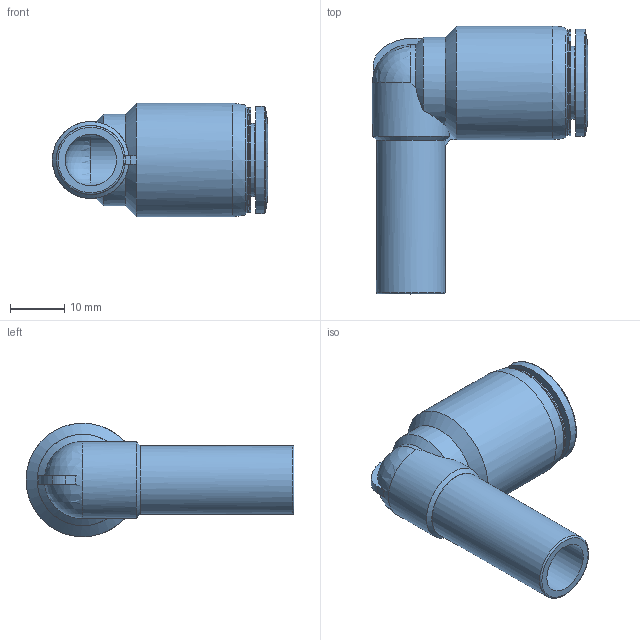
import cadquery as cq
import math


overall_length = 39.76

bore_radius = 9.5 / 2
elbow_radius = 7.1

stem_radius = 12.7 / 2
stem_length = 39.0
stem_tip_fillet = 0.3
hub_length = 10.6
hub_chamfer = 0.7

neck_radius = 8.45
neck_cone_start = 0.95
neck_cone_end = neck_cone_start + neck_radius - elbow_radius
body_radius = 21.0 / 2
body_cone_start = stem_radius
body_cone_end = body_cone_start + body_radius - neck_radius
body_crown_start = 26.2
body_crown_end = 28.6
body_end_radius = 10.13

lip_radius = 19.53 / 2
lip_end = 29.5
groove_center = (body_crown_end + lip_end) / 2
groove_half_width = 0.19
groove_depth = 0.15

sleeve_radius = 13.5 / 2
sleeve_fillet = 0.28
flange_radius = 19.8 / 2
flange_start = 30.5
flange_end = overall_length - elbow_radius
flange_edge_radius = 0.2
flange_dome_start = 32.2
flange_face_radius = 6.9

rib_thickness = 1.6
rib_outer_radius = 8.2
rib_flat_x = -6.95
rib_corner_radius = 3.6
gusset_corner_x = 7.35


def make_socket():
    """Turned outline of body, lip, sleeve and flange, revolved about X."""
    dome_height = flange_end - flange_dome_start
    dome_corner_radius = flange_radius - flange_edge_radius
    dome_span = dome_corner_radius - flange_face_radius
    dome_radius = (dome_span**2 + dome_height**2) / (2 * dome_height)
    outline = (
        cq.Workplane("XY")
        .lineTo(0, elbow_radius)
        .lineTo(neck_cone_start, elbow_radius)
        .lineTo(neck_cone_end, neck_radius)
        .lineTo(body_cone_start, neck_radius)
        .lineTo(body_cone_end, body_radius)
        .lineTo(body_crown_start, body_radius)
        .tangentArcPoint((body_crown_end, body_end_radius), relative=False)
        .lineTo(body_crown_end, lip_radius)
        .lineTo(groove_center - groove_half_width, lip_radius)
        .lineTo(groove_center, lip_radius - groove_depth)
        .lineTo(groove_center + groove_half_width, lip_radius)
        .lineTo(lip_end, lip_radius)
        .lineTo(lip_end, sleeve_radius)
        .lineTo(flange_start - sleeve_fillet, sleeve_radius)
        .tangentArcPoint((flange_start, sleeve_radius + sleeve_fillet), relative=False)
        .lineTo(flange_start, flange_radius)
        .lineTo(flange_dome_start - flange_edge_radius, flange_radius)
        .radiusArc((flange_dome_start, dome_corner_radius), flange_edge_radius)
        .radiusArc((flange_end, flange_face_radius), dome_radius)
        .lineTo(flange_end, 0)
        .close()
    )
    return outline.revolve(360, (0, 0, 0), (1, 0, 0))


def make_stem():
    """Elbow hub with a chamfered shoulder, and the slimmer stem with a rounded tip."""
    base = cq.Workplane("XZ")
    hub = base.circle(elbow_radius).extrude(hub_length).faces("<Y").chamfer(hub_chamfer)
    stem = base.circle(stem_radius).extrude(stem_length).faces("<Y").edges().fillet(stem_tip_fillet)
    return hub.union(stem)


def make_outer_rib():
    """Rib that wraps the outside of the bend with a rounded corner."""
    corner_y = math.sqrt(rib_outer_radius**2 - rib_flat_x**2)
    rib = (
        cq.Workplane("XY")
        .workplane(offset=-rib_thickness / 2)
        .lineTo(rib_flat_x, 0)
        .lineTo(rib_flat_x, corner_y)
        .radiusArc((0, rib_outer_radius), rib_outer_radius)
        .lineTo(neck_cone_end, rib_outer_radius)
        .lineTo(neck_cone_end, 0)
        .close()
        .extrude(rib_thickness)
    )
    corner = cq.selectors.NearestToPointSelector((rib_flat_x, corner_y, 0))
    return rib.edges("|Z").edges(corner).fillet(rib_corner_radius)


def make_gusset():
    """Small gusset in the inside corner between body and stem, sloped at 45 degrees."""
    return (
        cq.Workplane("XY")
        .workplane(offset=-rib_thickness / 2)
        .lineTo(0, -body_radius - gusset_corner_x)
        .lineTo(gusset_corner_x, -body_radius)
        .lineTo(body_cone_end, -body_radius)
        .lineTo(body_cone_end, 0)
        .close()
        .extrude(rib_thickness)
    )


def make_passage():
    """L-shaped bore through stem and socket, with a spherical bend."""
    stem_bore = cq.Workplane("XZ").circle(bore_radius).extrude(stem_length)
    socket_bore = cq.Workplane("YZ").circle(bore_radius).extrude(flange_end)
    return stem_bore.union(socket_bore).union(cq.Workplane("XY").sphere(bore_radius))


elbow = cq.Workplane("XY").sphere(elbow_radius)
outside = elbow.union(make_socket()).union(make_stem()).union(make_outer_rib()).union(make_gusset())
result = outside.cut(make_passage())